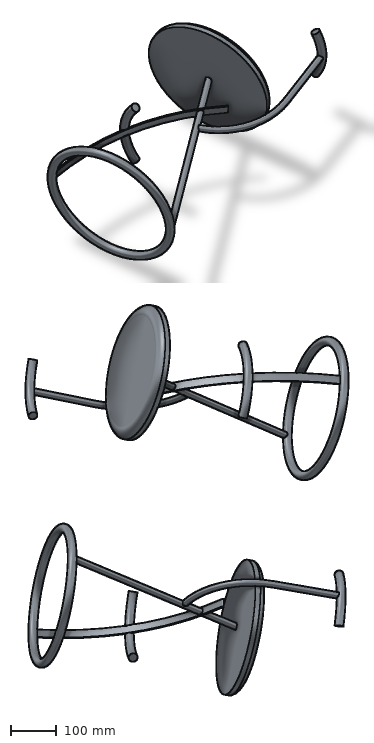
import cadquery as cq
import math

ring_radius = 150.0
thick_tube = 20.0
thin_tube = 15.0
bar_radius = 150.0

seat_diameter = 300.0
seat_bottom = 428.0
seat_rim_height = 12.0
seat_crown_height = 13.0
seat_crown_inset = 25.0

post_embed = 6.0

support_x = 180.0
support_bend_y = 460.5
support_bend_radius = 171.0
support_foot_y = 295.5

backrest_half_span = 69.0
footrest_x = -84.0
footrest_y = 210.5
footrest_half_span = 88.0

strip_thickness = 4.0
strip_width = thick_tube
strip_mid = (-73.0, 210.5)
strip_end = (80.5, 375.0)

ring_y = thick_tube / 2
total_height = 625.0
backrest_y = total_height - thick_tube / 2


def make_ring():
    """Floor ring with a round section."""
    profile = cq.Workplane("XY").center(ring_radius, ring_y).circle(thick_tube / 2)
    return profile.revolve(360, (-ring_radius, 0, 0), (-ring_radius, 1, 0))


def make_seat():
    """Round seat with a flat underside, a straight rim and a rounded upper edge."""
    radius = seat_diameter / 2
    rim_top = seat_bottom + seat_rim_height
    top = rim_top + seat_crown_height
    crown_mid = (
        radius - seat_crown_inset * (1 - math.sqrt(0.5)),
        rim_top + seat_crown_height * math.sqrt(0.5),
    )
    profile = (
        cq.Workplane("XY")
        .moveTo(0, seat_bottom)
        .lineTo(radius, seat_bottom)
        .lineTo(radius, rim_top)
        .threePointArc(crown_mid, (radius - seat_crown_inset, top))
        .lineTo(0, top)
        .close()
    )
    return profile.revolve(360, (0, 0, 0), (0, 1, 0))


def make_post():
    """Slanted tube from the floor ring to the middle of the seat."""
    start = cq.Vector(ring_radius, ring_y, 0)
    end = cq.Vector(0, seat_bottom + post_embed, 0)
    axis = end - start
    return cq.Workplane(cq.Solid.makeCylinder(thin_tube / 2, axis.Length, start, axis))


def make_back_support():
    """Tube that leaves the post in a bend and rises upright to the backrest."""
    center_x = support_x - support_bend_radius
    foot_angle = math.asin((support_bend_y - support_foot_y) / support_bend_radius)

    def on_bend(angle):
        return (
            center_x + support_bend_radius * math.cos(angle),
            support_bend_y - support_bend_radius * math.sin(angle),
        )

    path = (
        cq.Workplane("XY")
        .moveTo(support_x, backrest_y)
        .lineTo(support_x, support_bend_y)
        .threePointArc(on_bend(foot_angle / 2), on_bend(foot_angle))
    )
    section = cq.Workplane("XZ", origin=(support_x, backrest_y, 0)).circle(thin_tube / 2)
    return section.sweep(path)


def make_bar(middle_x, y, half_span, side):
    """Round bar bent in a level arc; side is +1 or -1, the X direction it bulges to."""
    sweep = 2 * math.degrees(math.asin(half_span / bar_radius))
    bar = (
        cq.Workplane("XY")
        .center(middle_x, y)
        .circle(thick_tube / 2)
        .revolve(sweep, (-side * bar_radius, 0, 0), (-side * bar_radius, 1, 0))
    )
    center_x = middle_x - side * bar_radius
    return bar.rotate((center_x, 0, 0), (center_x, 1, 0), -sweep / 2)


def make_strip():
    """Flat spring strip, curved from the floor ring past the post."""
    return (
        cq.Workplane("XY")
        .moveTo(-ring_radius, ring_y)
        .threePointArc(strip_mid, strip_end)
        .offset2D(strip_thickness / 2)
        .extrude(strip_width / 2, both=True)
    )


backrest = make_bar(support_x, backrest_y, backrest_half_span, 1)
footrest = make_bar(footrest_x, footrest_y, footrest_half_span, -1)

result = (
    make_ring()
    .union(make_seat())
    .union(make_post())
    .union(make_back_support())
    .union(backrest)
    .union(footrest)
    .union(make_strip())
)